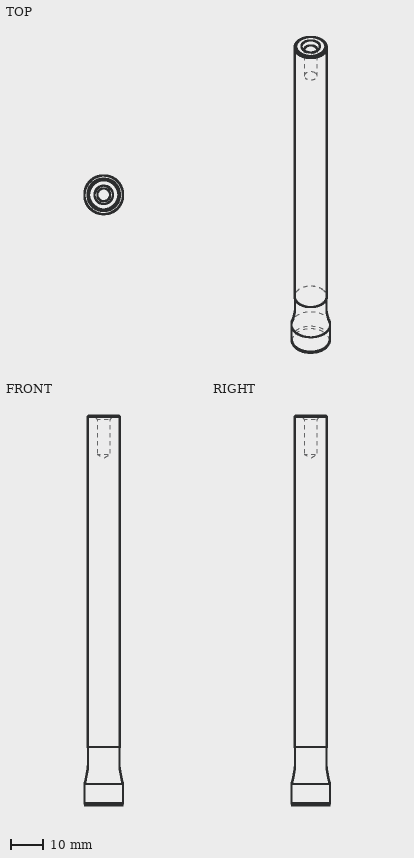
import cadquery as cq
import math

total_length = 120.0
joint_height = 18.0

shank_diameter = 10.0
shank_end_chamfer = 0.5
hole_diameter = 4.0
hole_depth = 12.0
drill_point_angle = 118.0
countersink_diameter = 5.6
countersink_depth = 1.3

collar_diameter = 12.0
bottom_diameter = 11.4
collar_base_height = 0.7
collar_height = 6.6
shoulder_diameter = 11.4
shoulder_height = 7.3
neck_diameter = 9.8
flare_top_height = 11.4
flare_blend_radius = 4.0


def make_shank():
    body = (
        cq.Workplane("XY")
        .workplane(offset=joint_height)
        .circle(shank_diameter / 2)
        .extrude(total_length - joint_height)
        .faces(">Z")
        .edges()
        .chamfer(shank_end_chamfer)
    )
    return body.cut(make_centre_hole())


def make_centre_hole():
    """Countersunk blind hole with a conical drill point, as a solid to cut."""
    hole_radius = hole_diameter / 2
    hole_bottom = total_length - hole_depth
    point_length = hole_radius / math.tan(math.radians(drill_point_angle / 2))
    return (
        cq.Workplane("XZ")
        .moveTo(0, hole_bottom - point_length)
        .lineTo(hole_radius, hole_bottom)
        .lineTo(hole_radius, total_length - countersink_depth)
        .lineTo(countersink_diameter / 2, total_length)
        .lineTo(0, total_length)
        .close()
        .revolve(360, (0, 0, 0), (0, 1, 0))
    )


def make_head():
    collar_radius = collar_diameter / 2
    neck_radius = neck_diameter / 2
    blank = (
        cq.Workplane("XZ")
        .moveTo(0, 0)
        .lineTo(bottom_diameter / 2, 0)
        .lineTo(collar_radius, collar_base_height)
        .lineTo(collar_radius, collar_height)
        .lineTo(shoulder_diameter / 2, shoulder_height)
        .lineTo(neck_radius, flare_top_height)
        .lineTo(neck_radius, joint_height)
        .lineTo(0, joint_height)
        .close()
        .revolve(360, (0, 0, 0), (0, 1, 0))
    )
    half_band = (flare_top_height - shoulder_height) / 2
    flare_corner = cq.selectors.BoxSelector(
        (-collar_radius, -collar_radius, flare_top_height - half_band),
        (collar_radius, collar_radius, flare_top_height + half_band),
    )
    return blank.edges("%CIRCLE").edges(flare_corner).fillet(flare_blend_radius)


shank = make_shank()
head = make_head()

result = cq.Compound.makeCompound([shank.val(), head.val()])